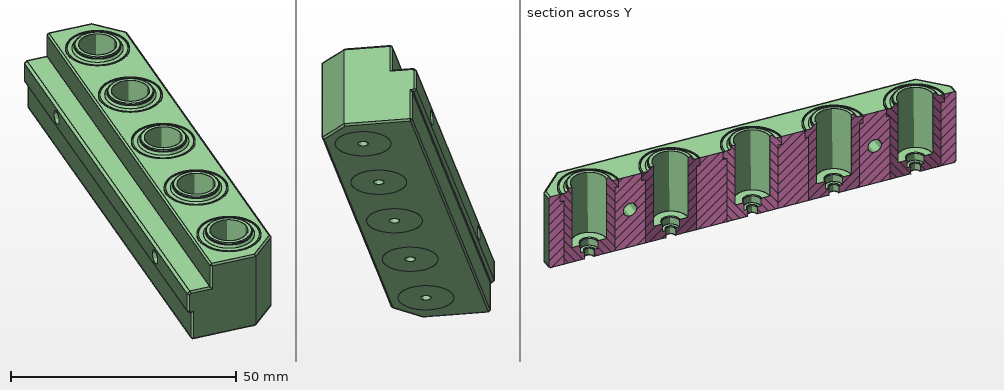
import cadquery as cq

LENGTH = 100.0
DEPTH = 22.2
BLOCK_HEIGHT = 19.0
BASE_FRONT_Y = 0.9
STEP_Y = 5.4
LEDGE_BOTTOM_Z = 7.1
LEDGE_TOP_Z = 12.9
CORNER_CUT = 6.0
EDGE_CHAMFER = 0.42
LEDGE_CHAMFER = 0.6

TOLERANCE = 0.001

CROSS_HOLE_DIAMETER = 3.2
CROSS_HOLE_COUNT = 2
CROSS_HOLE_SPACING = 60.0
CROSS_HOLE_Z = (LEDGE_BOTTOM_Z + LEDGE_TOP_Z) / 2

BUSHING_COUNT = 5
BUSHING_PITCH = 20.0
BUSHING_Y = 13.7
SHANK_DIAMETER = 12.4
FLANGE_DIAMETER = 14.2
FLANGE_THICKNESS = 2.0
FLANGE_CHAMFER = 0.35
LIP_DIAMETER = 10.4
LIP_HEIGHT = 1.0
LIP_ROOT_CHAMFER = 0.5
LIP_CHAMFER = 0.2

BORE_DIAMETER = 8.4
FLOOR_TOP = 4.0
COUNTERBORE_DIAMETER = 4.1
COUNTERBORE_BOTTOM = 2.0
SCREW_HOLE_DIAMETER = 2.3
HOLE_CHAMFER = 0.2

BUSHING_TOP = BLOCK_HEIGHT + LIP_HEIGHT
FLANGE_BOTTOM = BLOCK_HEIGHT - FLANGE_THICKNESS
BUSHING_XS = [
    LENGTH / 2 + (i - (BUSHING_COUNT - 1) / 2) * BUSHING_PITCH for i in range(BUSHING_COUNT)
]


def cylinder(diameter, bottom, top):
    """Upright cylinder on the Z axis between two heights."""
    return cq.Workplane("XY", origin=(0, 0, bottom)).circle(diameter / 2).extrude(top - bottom)


def cone(small_diameter, small_end, rise):
    """45-degree cone on the Z axis, its wide end above the small end by the rise, or below it if negative."""
    wide_end = small_end + rise
    small_radius = small_diameter / 2
    wide_radius = small_radius + abs(rise)
    return (
        cq.Workplane("XZ")
        .polyline([(0, small_end), (small_radius, small_end), (wide_radius, wide_end), (0, wide_end)])
        .close()
        .revolve(360, (0, 0, 0), (0, 1, 0))
    )


def bar_blank():
    """Stepped section swept along X, with both rear corners cut off."""
    bar = (
        cq.Workplane("YZ")
        .moveTo(BASE_FRONT_Y, 0)
        .lineTo(DEPTH, 0)
        .lineTo(DEPTH, BLOCK_HEIGHT)
        .lineTo(STEP_Y, BLOCK_HEIGHT)
        .lineTo(STEP_Y, LEDGE_TOP_Z)
        .lineTo(0, LEDGE_TOP_Z)
        .lineTo(0, LEDGE_BOTTOM_Z)
        .lineTo(BASE_FRONT_Y, LEDGE_BOTTOM_Z)
        .close()
        .extrude(LENGTH)
    )
    rear_corners = bar.edges("|Z and >Y")
    return rear_corners.chamfer(CORNER_CUT)


def is_broken(edge):
    """True for edges of the ends, top and bottom, except those beside the corner cuts, which stay sharp."""
    center = edge.Center()
    on_end = min(center.x, LENGTH - center.x) < TOLERANCE
    on_rim = min(center.z, BLOCK_HEIGHT - center.z) < TOLERANCE
    beside_corner_cut = abs(center.y - (DEPTH - CORNER_CUT)) < TOLERANCE
    return (on_end or on_rim) and not beside_corner_cut


def break_edges(bar):
    """Chamfer the front of the ledge, then the block's outer edges."""
    bar = bar.faces("<Y").edges("|X").chamfer(LEDGE_CHAMFER)
    broken = [edge for edge in bar.edges().vals() if is_broken(edge)]
    return bar.newObject(broken).chamfer(EDGE_CHAMFER)


def make_block():
    """Chamfered bar with its cross holes and a stepped seat for each bushing."""
    block = break_edges(bar_blank())
    cross_holes = (
        cq.Workplane("XZ", origin=(LENGTH / 2, 0, CROSS_HOLE_Z))
        .rarray(CROSS_HOLE_SPACING, DEPTH, CROSS_HOLE_COUNT, 1)
        .circle(CROSS_HOLE_DIAMETER / 2)
        .extrude(-DEPTH)
    )
    seat = cylinder(SHANK_DIAMETER, 0, BLOCK_HEIGHT).union(
        cylinder(FLANGE_DIAMETER, FLANGE_BOTTOM, BLOCK_HEIGHT)
    )
    block = block.cut(cross_holes)
    for x in BUSHING_XS:
        block = block.cut(seat.translate((x, BUSHING_Y, 0)))
    return block


def make_bushing(x):
    """Flanged cup at one place along the block, with a screw hole through its floor."""
    shank = cylinder(SHANK_DIAMETER, 0, FLANGE_BOTTOM)
    flange = cylinder(FLANGE_DIAMETER, FLANGE_BOTTOM, BLOCK_HEIGHT).faces(">Z").chamfer(FLANGE_CHAMFER)
    lip = cylinder(LIP_DIAMETER, BLOCK_HEIGHT, BUSHING_TOP).faces(">Z").chamfer(LIP_CHAMFER)
    lip_root = cone(LIP_DIAMETER, BLOCK_HEIGHT + LIP_ROOT_CHAMFER, -LIP_ROOT_CHAMFER)
    bushing = (
        shank.union(flange)
        .union(lip)
        .union(lip_root)
        .cut(cylinder(BORE_DIAMETER, FLOOR_TOP, BUSHING_TOP))
        .cut(cylinder(COUNTERBORE_DIAMETER, COUNTERBORE_BOTTOM, FLOOR_TOP))
        .cut(cone(COUNTERBORE_DIAMETER, FLOOR_TOP - HOLE_CHAMFER, HOLE_CHAMFER))
        .cut(cylinder(SCREW_HOLE_DIAMETER, 0, COUNTERBORE_BOTTOM))
        .cut(cone(SCREW_HOLE_DIAMETER, COUNTERBORE_BOTTOM - HOLE_CHAMFER, HOLE_CHAMFER))
    )
    return bushing.translate((x, BUSHING_Y, 0))


block = make_block()
bushings = [make_bushing(x) for x in BUSHING_XS]
result = cq.Compound.makeCompound([block.val(), *[bushing.val() for bushing in bushings]])